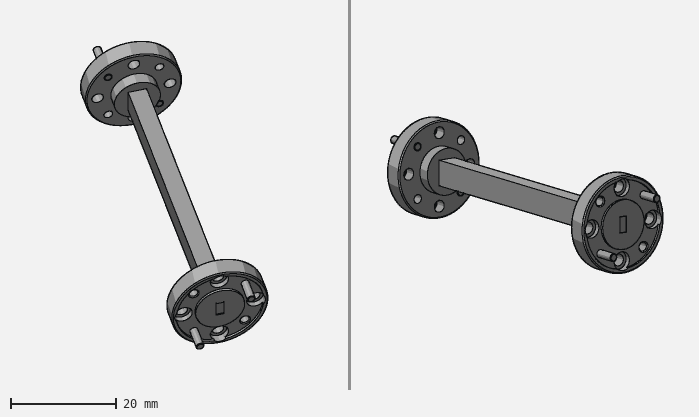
import cadquery as cq
import math

OVERALL_LENGTH = 71.25
PIN_PROTRUSION = 3.9
FLANGE_THICKNESS = 3.9
HUB_LENGTH = 2.4
FLANGE_FACE = OVERALL_LENGTH / 2 - PIN_PROTRUSION
FLANGE_BACK = FLANGE_FACE - FLANGE_THICKNESS
HUB_END = FLANGE_BACK - HUB_LENGTH

FLANGE_RADIUS = 19.0 / 2
FLANGE_CHAMFER = 0.25
HUB_RADIUS = 4.55

LAND_RADIUS = 4.85
RIM_INNER_RADIUS = 8.6
FACE_GROOVE_DEPTH = 0.5

TUBE_WIDTH = 3.6
TUBE_HEIGHT = 5.0
PORT_WIDTH = 1.6
PORT_HEIGHT = 3.1
PORT_DEPTH = 0.25

BOLT_CIRCLE_RADIUS = 14.3 / 2
SCREW_HOLE_RADIUS = 1.15
COUNTERBORE_RADIUS = 1.8
COUNTERBORE_DEPTH = 1.6
SCREW_ANGLES = (0, 90, 180, 270)

PIN_RADIUS = 0.8
PIN_CHAMFER = 0.15
ALIGNMENT_RADIUS = 0.85
COUNTERSINK_RADIUS = 1.1

SIDES = (-1, 1)


def cylinder(x_start, x_end, radius, y=0, z=0):
    """Cylinder along X between two X positions."""
    low, high = min(x_start, x_end), max(x_start, x_end)
    return cq.Workplane("YZ", origin=(low, y, z)).circle(radius).extrude(high - low)


def block(x_start, x_end, width, height):
    """Centred rectangular block along X between two X positions."""
    low, high = min(x_start, x_end), max(x_start, x_end)
    return cq.Workplane("YZ", origin=(low, 0, 0)).rect(width, height).extrude(high - low)


def on_bolt_circle(angle):
    """Y and Z of a bolt-circle position, with the angle measured from +Y toward +Z."""
    turn = math.radians(angle)
    return BOLT_CIRCLE_RADIUS * math.cos(turn), BOLT_CIRCLE_RADIUS * math.sin(turn)


def pin_angles(side):
    """Pin angles on one flange; a half turn about Z carries them to the other flange."""
    return (135, 315) if side < 0 else (45, 225)


def alignment_angles(side):
    """Alignment holes sit where the opposite flange has its pins."""
    return pin_angles(-side)


def countersink(side, y, z):
    """Cone that opens an alignment hole toward the mating face."""
    depth = COUNTERSINK_RADIUS - ALIGNMENT_RADIUS
    floor = FLANGE_FACE - FACE_GROOVE_DEPTH
    mouth = cq.Vector(side * floor, y, z)
    inward = cq.Vector(-side, 0, 0)
    return cq.Workplane(cq.Solid.makeCone(COUNTERSINK_RADIUS, ALIGNMENT_RADIUS, depth, pnt=mouth, dir=inward))


def flange(side):
    """Flange with its hub and all the cuts in its mating face."""
    face = side * FLANGE_FACE
    back = side * FLANGE_BACK
    body = cylinder(back, face, FLANGE_RADIUS).edges().chamfer(FLANGE_CHAMFER)
    body = body.union(cylinder(side * HUB_END, back, HUB_RADIUS))

    groove_floor = side * (FLANGE_FACE - FACE_GROOVE_DEPTH)
    groove = cylinder(groove_floor, face, RIM_INNER_RADIUS).cut(cylinder(groove_floor, face, LAND_RADIUS))
    body = body.cut(groove)
    body = body.cut(block(side * (FLANGE_FACE - PORT_DEPTH), face, PORT_WIDTH, PORT_HEIGHT))

    for angle in SCREW_ANGLES:
        y, z = on_bolt_circle(angle)
        body = body.cut(cylinder(back, face, SCREW_HOLE_RADIUS, y, z))
        counterbore_floor = side * (FLANGE_FACE - COUNTERBORE_DEPTH)
        body = body.cut(cylinder(counterbore_floor, face, COUNTERBORE_RADIUS, y, z))

    for angle in pin_angles(side):
        y, z = on_bolt_circle(angle)
        body = body.cut(cylinder(back, face, PIN_RADIUS, y, z))

    for angle in alignment_angles(side):
        y, z = on_bolt_circle(angle)
        body = body.cut(cylinder(back, face, ALIGNMENT_RADIUS, y, z))
        body = body.cut(countersink(side, y, z))
    return body


def waveguide():
    """Tube with a flange at each end, as one solid."""
    body = block(-HUB_END, HUB_END, TUBE_WIDTH, TUBE_HEIGHT)
    for side in SIDES:
        body = body.union(flange(side))
    return body


def pin(side, angle):
    """Dowel pin, flush with the flange back and chamfered at both ends."""
    y, z = on_bolt_circle(angle)
    body = cylinder(side * FLANGE_BACK, side * OVERALL_LENGTH / 2, PIN_RADIUS, y, z)
    return body.edges("%CIRCLE").chamfer(PIN_CHAMFER)


pins = [pin(side, angle) for side in SIDES for angle in pin_angles(side)]
result = cq.Compound.makeCompound([waveguide().val(), *[dowel.val() for dowel in pins]])